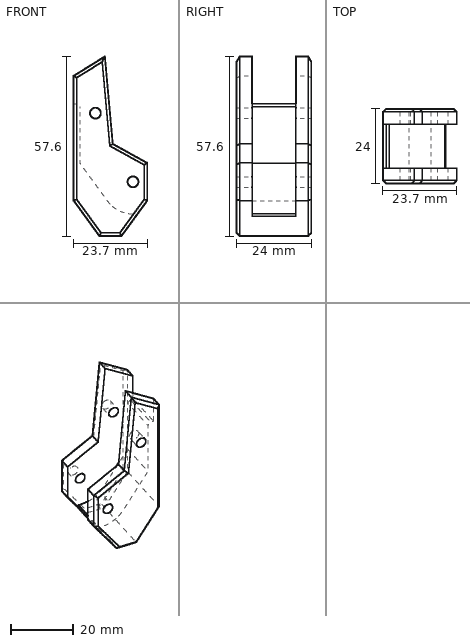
import cadquery as cq
import math

length = 23.7
width = 24.0
height = 57.6

taper_height = 11.4
bottom_left_x = 8.3
bottom_right_x = length - bottom_left_x
shoulder_outer_z = 23.45
shoulder_inner_x = 12.6
shoulder_inner_z = 29.55
tip_x = 10.1
back_top_z = 51.3
edge_chamfer = 1.05

hole_diameter = 3.4
upper_pivot = (7.0, 39.4)
lower_pivot = (19.05, 17.4)

slot_width = 14.0
back_wall = 2.0
back_wall_top = 42.45
back_wall_chamfer = 1.0
floor_radius = 10.25
floor_lip_chamfer = 0.85
clearance = 5.75


def make_body():
    """Solid side outline with both outer faces chamfered all around."""
    outline = [
        (bottom_left_x, 0),
        (bottom_right_x, 0),
        (length, taper_height),
        (length, shoulder_outer_z),
        (shoulder_inner_x, shoulder_inner_z),
        (tip_x, height),
        (0, back_top_z),
        (0, taper_height),
    ]
    body = cq.Workplane("XZ").polyline(outline).close().extrude(width / 2, both=True)
    return body.faces("<Y or >Y").chamfer(edge_chamfer)


def make_slot():
    """Space between the cheeks, with a floor curved around the lower pivot."""
    pivot_x, pivot_z = lower_pivot
    taper_angle = math.atan2(taper_height, bottom_left_x)

    def floor_arc_point(angle):
        return (
            pivot_x - floor_radius * math.sin(angle),
            pivot_z - floor_radius * math.cos(angle),
        )

    arc_start = floor_arc_point(taper_angle)
    slope_top_z = arc_start[1] + (arc_start[0] - back_wall) * math.tan(taper_angle)

    floor_z = pivot_z - floor_radius
    lip_x = bottom_right_x + floor_z / math.tan(taper_angle)
    lip_end_x = lip_x - floor_lip_chamfer * math.cos(taper_angle)
    lip_end_z = floor_z - floor_lip_chamfer * math.sin(taper_angle)

    return (
        cq.Workplane("XZ")
        .moveTo(-clearance, height + clearance)
        .lineTo(-clearance, back_wall_top)
        .lineTo(back_wall - back_wall_chamfer, back_wall_top)
        .lineTo(back_wall, back_wall_top - back_wall_chamfer)
        .lineTo(back_wall, slope_top_z)
        .lineTo(*arc_start)
        .threePointArc(floor_arc_point(taper_angle / 2), (pivot_x, floor_z))
        .lineTo(lip_x - floor_lip_chamfer, floor_z)
        .lineTo(lip_end_x, lip_end_z)
        .lineTo(length + clearance, lip_end_z)
        .lineTo(length + clearance, height + clearance)
        .close()
        .extrude(slot_width / 2, both=True)
    )


def make_pivot_holes():
    """Cylinders across the full width at both pivots."""
    return (
        cq.Workplane("XZ")
        .pushPoints([upper_pivot, lower_pivot])
        .circle(hole_diameter / 2)
        .extrude(width, both=True)
    )


result = make_body().cut(make_slot()).cut(make_pivot_holes())